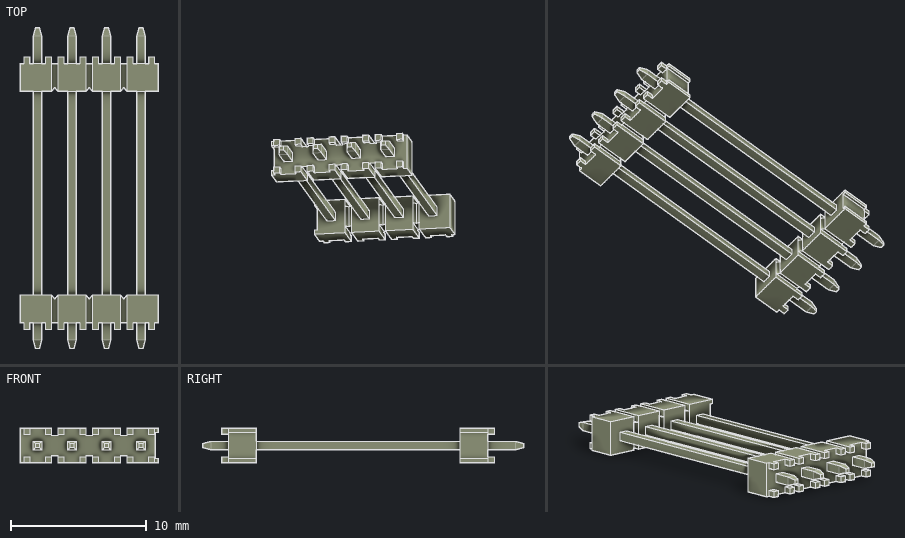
import cadquery as cq

pin_count = 4
header_width = 10.15
header_height = 2.55
pin_length = 23.62
pitch = header_width / pin_count

pin_side = 0.64
tip_side = 0.3
tip_length = 0.61
front_overhang = 1.9
rear_overhang = 2.65

header_depth = 2.05
peg_side = 0.45
peg_length = 0.5
end_peg_margin = 0.25
notch_width = 0.47
notch_depth = 0.52
vee_depth = 0.28
end_recess_depth = 0.21
end_lip_height = 0.33

pin_centers = [(i + 0.5 - pin_count / 2) * pitch for i in range(pin_count)]
joint_centers = [(i - pin_count / 2) * pitch for i in range(1, pin_count)]


def box(size_x, size_y, size_z, center):
    return cq.Workplane("XY").box(size_x, size_y, size_z).translate(center)


def peg_centers():
    """X centres of the pegs: flush with each notch and set in from both ends."""
    end_offset = header_width / 2 - end_peg_margin - peg_side / 2
    joint_offset = (notch_width + peg_side) / 2
    centers = [-end_offset, end_offset]
    for x in joint_centers:
        centers += [x - joint_offset, x + joint_offset]
    return centers


def header():
    """One header with its pegged outer face at y = 0 and its body towards +Y."""
    mid_y = header_depth / 2
    body = box(header_width, header_depth, header_height, (0, mid_y, 0))

    notch_z = (header_height - notch_depth) / 2
    for x in joint_centers:
        for side in (-1, 1):
            body = body.cut(box(notch_width, header_depth, notch_depth, (x, mid_y, side * notch_z)))
        vee = (
            cq.Workplane("XY")
            .polyline([
                (x - notch_width / 2, header_depth),
                (x, header_depth - vee_depth),
                (x + notch_width / 2, header_depth),
            ])
            .close()
            .extrude(header_height / 2, both=True)
        )
        body = body.cut(vee)

    recess_height = header_height - 2 * end_lip_height
    recess_x = (header_width - end_recess_depth) / 2
    body = body.cut(box(end_recess_depth, header_depth, recess_height, (recess_x, mid_y, 0)))

    peg_z = (header_height - peg_side) / 2
    for x in peg_centers():
        for side in (-1, 1):
            body = body.union(box(peg_side, peg_length, peg_side, (x, -peg_length / 2, side * peg_z)))
    return body


def pin(x):
    """A square pin centred at x, tapered at both ends."""
    shank_half = pin_length / 2 - tip_length
    body = box(pin_side, 2 * shank_half, pin_side, (x, 0, 0))
    for side in (-1, 1):
        tip = (
            cq.Workplane(cq.Plane((x, side * shank_half, 0), xDir=(1, 0, 0), normal=(0, side, 0)))
            .rect(pin_side, pin_side)
            .workplane(offset=tip_length)
            .rect(tip_side, tip_side)
            .loft(ruled=True)
        )
        body = body.union(tip)
    return body


front_header = header().translate((0, front_overhang - pin_length / 2, 0))
rear_header = header().mirror("XZ").translate((0, pin_length / 2 - rear_overhang, 0))

result = front_header.union(rear_header)
for x in pin_centers:
    result = result.union(pin(x))